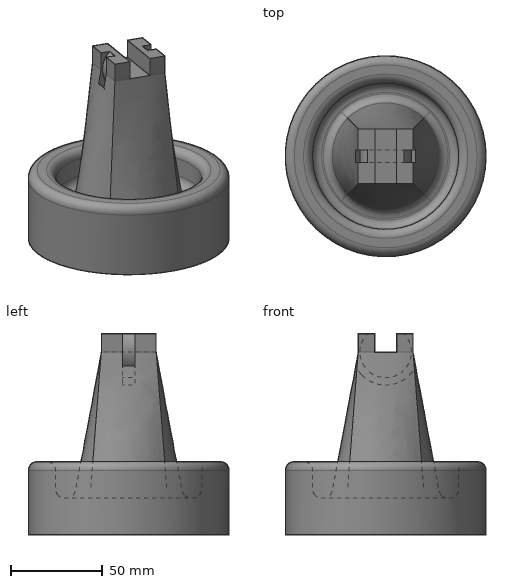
import cadquery as cq
import math

outer_diameter = 110.0
cup_height = 40.0
well_diameter = 80.0
well_floor = 20.0
round_radius = 5.0

total_height = 110.0
post_base_diameter = 60.0
post_top_side = 30.0
head_height = 10.0
channel_width = 11.9

strap_inner_radius = 14.1
strap_outer_radius = 18.2
strap_width = 7.0

shoulder = total_height - head_height


def make_cup():
    body = cq.Workplane("XY").circle(outer_diameter / 2).extrude(cup_height)
    well = (
        cq.Workplane("XY")
        .workplane(offset=well_floor)
        .circle(well_diameter / 2)
        .extrude(cup_height - well_floor)
        .faces("<Z")
        .edges()
        .fillet(round_radius)
    )
    return body.cut(well).faces(">Z").edges().fillet(round_radius)


def make_taper():
    """Ruled loft from a circle, split at its diagonals, to the square shoulder."""
    radius = post_base_diameter / 2
    diagonal = radius * math.cos(math.pi / 4)
    half_side = post_top_side / 2
    base = (
        cq.Workplane("XY")
        .workplane(offset=well_floor)
        .moveTo(-diagonal, -diagonal)
        .threePointArc((0, -radius), (diagonal, -diagonal))
        .threePointArc((radius, 0), (diagonal, diagonal))
        .threePointArc((0, radius), (-diagonal, diagonal))
        .threePointArc((-radius, 0), (-diagonal, -diagonal))
        .close()
    )
    top = (
        cq.Workplane("XY")
        .workplane(offset=shoulder)
        .moveTo(-half_side, -half_side)
        .lineTo(half_side, -half_side)
        .lineTo(half_side, half_side)
        .lineTo(-half_side, half_side)
        .close()
    )
    return cq.Workplane(cq.Solid.makeLoft([base.val(), top.val()], True))


def make_head():
    """Square block split into two jaws by a channel along Y."""
    shoulder_plane = cq.Workplane("XY").workplane(offset=shoulder)
    block = shoulder_plane.rect(post_top_side, post_top_side).extrude(head_height)
    channel = shoulder_plane.rect(channel_width, post_top_side).extrude(head_height)
    return block.cut(channel)


def make_strap_passage():
    return (
        cq.Workplane("XZ")
        .center(0, shoulder)
        .circle(strap_outer_radius)
        .circle(strap_inner_radius)
        .extrude(strap_width / 2, both=True)
    )


def blend_post_into_floor(body):
    """Fillet the smallest circle lying on the well floor, the foot of the post."""
    reach = well_diameter / 2
    margin = 0.1
    floor_zone = cq.selectors.BoxSelector(
        (-reach, -reach, well_floor - margin),
        (reach, reach, well_floor + margin),
    )
    smallest_circle = cq.selectors.RadiusNthSelector(0)
    return body.edges(floor_zone).edges(smallest_circle).fillet(round_radius)


cup_with_post = blend_post_into_floor(make_cup().union(make_taper()))
result = cup_with_post.union(make_head()).cut(make_strap_passage())